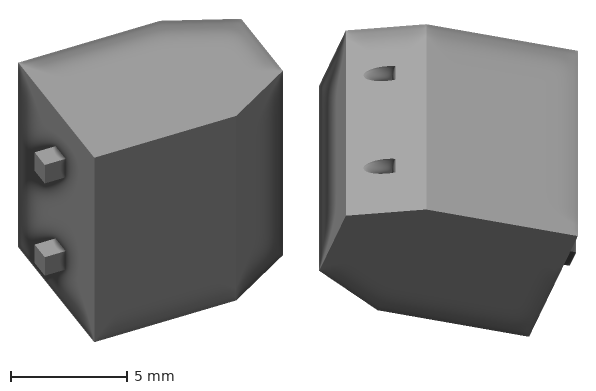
import cadquery as cq

body_width = 7.5
body_height = 10.0
overall_depth = 11.0
pin_size = 1.0
body_depth = overall_depth - pin_size
taper_depth = 3.2
left_taper_width = 1.4
right_taper_width = 2.0

level_spacing = body_height / 2
levels = (-level_spacing / 2, level_spacing / 2)

pin_center_x = 4.18

hole_radius = 0.4
hole_center_x = 0.69
hole_floor_inset = 1.97


def make_body():
    """Extrude the tapered outline, centred on Z = 0, with its corner at X = Y = 0."""
    shoulder_y = body_depth - taper_depth
    outline = [
        (0, 0),
        (body_width, 0),
        (body_width, shoulder_y),
        (body_width - right_taper_width, body_depth),
        (left_taper_width, body_depth),
        (0, shoulder_y),
    ]
    return cq.Workplane("XY").polyline(outline).close().extrude(body_height / 2, both=True)


def make_pin(level):
    """Cube standing out of the -Y face."""
    return (
        cq.Workplane("XY")
        .box(pin_size, pin_size, pin_size)
        .translate((pin_center_x, -pin_size / 2, level))
    )


def make_hole(level):
    """Cylinder from the flat hole floor out past the left slanted face."""
    floor = cq.Vector(hole_center_x, body_depth - hole_floor_inset, level)
    return cq.Workplane(cq.Solid.makeCylinder(hole_radius, hole_floor_inset, floor, cq.Vector(0, 1, 0)))


result = make_body()
for level in levels:
    result = result.union(make_pin(level)).cut(make_hole(level))